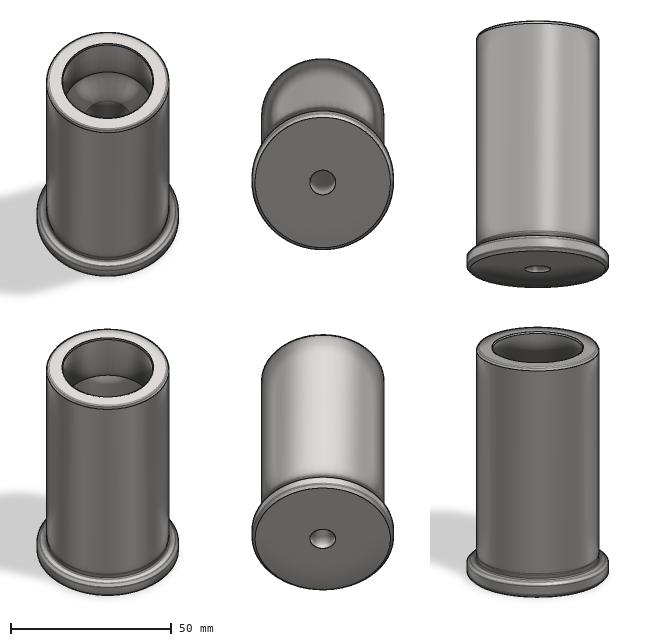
import cadquery as cq

total_height = 75.0
flange_radius = 44.0 / 2
flange_height = 5.0
flange_chamfer = 1.0
upper_flange_round = 0.3
lower_flange_round = 0.5

body_radius = 38.1 / 2
neck_radius = 37.8 / 2
neck_top = 6.5
neck_taper_top = 7.05
neck_fillet = 0.4
rim_chamfer_height = 1.0
rim_chamfer_width = 0.5
rim_round = 0.5

bore_radius = 28.0 / 2
bore_depth = 15.0
bore_chamfer_width = 0.2
bore_chamfer_height = 0.5
throat_radius = 15.0 / 2
hole_radius = 7.95 / 2
funnel_height = bore_radius - throat_radius
throat_height = 6.1
funnel_top = total_height - bore_depth
funnel_bottom = funnel_top - funnel_height
throat_bottom = funnel_bottom - throat_height


def revolved(profile):
    """Turn a closed radius-height profile about the Z axis."""
    return profile.close().revolve(360, (0, 0, 0), (0, 1, 0))


def rounded(solid, radius, height, fillet_radius):
    """Round the circular edge that runs through the given radius and height."""
    tolerance = 0.015
    box = cq.selectors.BoxSelector(
        (-radius - tolerance, -radius - tolerance, height - tolerance),
        (radius + tolerance, radius + tolerance, height + tolerance),
        boundingbox=True,
    )
    outer_ring = cq.selectors.RadiusNthSelector(-1)
    return solid.edges("%CIRCLE").edges(box).edges(outer_ring).fillet(fillet_radius)


outside = revolved(
    cq.Workplane("XZ")
    .lineTo(flange_radius - flange_chamfer, 0)
    .lineTo(flange_radius, flange_chamfer)
    .lineTo(flange_radius, flange_height - flange_chamfer)
    .lineTo(flange_radius - flange_chamfer, flange_height)
    .lineTo(neck_radius + neck_fillet, flange_height)
    .radiusArc((neck_radius, flange_height + neck_fillet), neck_fillet)
    .lineTo(neck_radius, neck_top)
    .lineTo(body_radius, neck_taper_top)
    .lineTo(body_radius, total_height - rim_chamfer_height)
    .lineTo(body_radius - rim_chamfer_width, total_height)
    .lineTo(0, total_height)
)

outside = rounded(outside, flange_radius, flange_chamfer, lower_flange_round)
outside = rounded(outside, flange_radius, flange_height - flange_chamfer, upper_flange_round)
outside = rounded(outside, flange_radius - flange_chamfer, flange_height, upper_flange_round)
outside = rounded(outside, body_radius - rim_chamfer_width, total_height, rim_round)

bore = revolved(
    cq.Workplane("XZ")
    .lineTo(hole_radius, 0)
    .lineTo(hole_radius, throat_bottom)
    .lineTo(throat_radius, funnel_bottom)
    .lineTo(bore_radius, funnel_top)
    .lineTo(bore_radius, total_height - bore_chamfer_height)
    .lineTo(bore_radius + bore_chamfer_width, total_height)
    .lineTo(0, total_height)
)
result = outside.cut(bore)